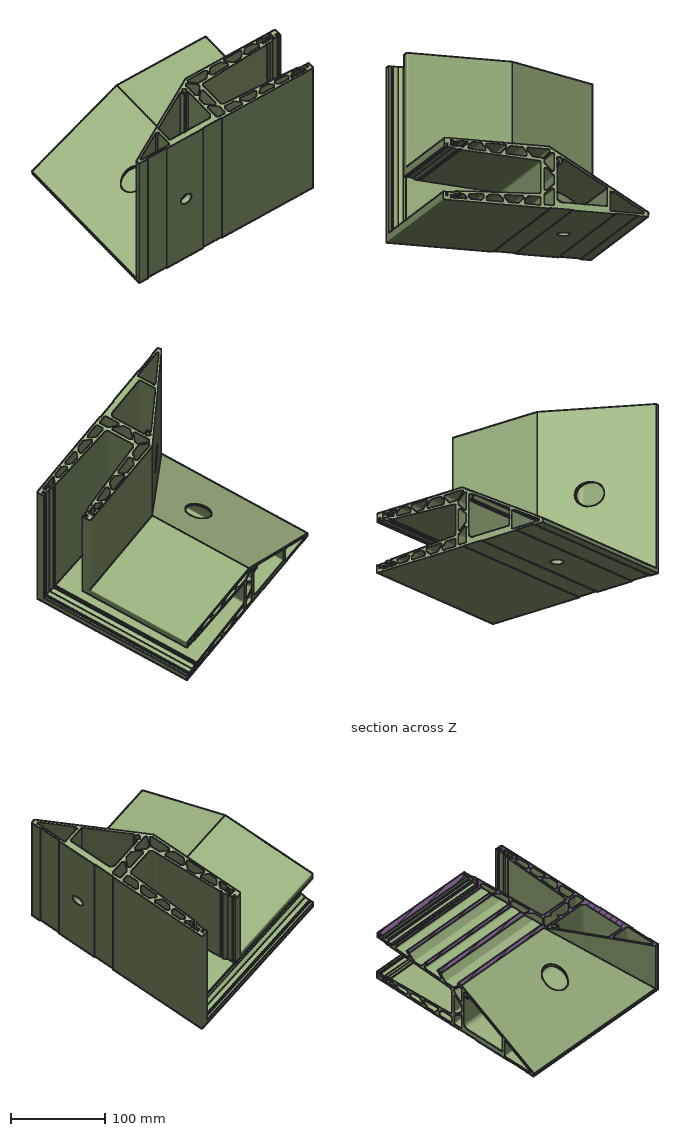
import cadquery as cq
import math


leg_length = 192.0
profile_width = 230.0
profile_depth = 68.0
knee_s = 118.4
slope_angle = 29.57

lip_setback = 0.7
tip_setback = 0.7
tip_d = 4.4
tip_bevel = 1.4
lip_round = 1.5
outer_round = 1.0
recess_starts = (120.1, 193.0)
recess_width = 24.8
recess_depth = 0.6

channel_mid = 33.4
mouth_half = 24.6
seal_slot_s = 3.0
seal_slot_width = 2.0
seal_slot_half = 28.5
bead_start_s = 10.8
bead_end_s = 18.7
bead_height = 1.9
bead_crest_s = 15.8
bead_heel_half = 23.8
bead_bulge = 0.65
taper_start_s = 19.3
taper_start_half = 22.65
taper_angle = 3.0
channel_end_s = 109.3
channel_corner_round = 3.0

slope_wall = 3.0
outer_skin = 2.9
thick_skin = 7.8
inner_skin = 2.0
inner_skin_thick = 3.0
cavity_start_s = 127.3
cavity_end_s = 183.6
cavity_top_d = 51.0
cavity_neck_s = 134.9
cavity_neck_length = 2.3
cavity_round = 5.5
cavity_end_round = 1.0
tip_cavity_start_s = 187.0
tip_cavity_flat = 3.2
tip_cavity_round = 1.2
port_s = 129.7
port_d = 55.0
port_radius = 2.7
port_throat_s = 130.0
port_throat_width = 2.3

web_start_s = 113.0
web_end_s = 124.0
web_skin = 3.7
cell_round = 2.0

hole_along = 94.0
hole_s = 167.5
access_diameter = 28.0
bolt_diameter = 14.0

slope = math.tan(math.radians(slope_angle))
inner_cell_d = profile_depth - inner_skin
thick_cell_d = profile_depth - inner_skin_thick

mouth_cells = [
    [(8.4, inner_cell_d), (10.8, inner_cell_d), (12.6, 64.2), (14.0, 65.0), (15.8, 65.0),
     (17.0, 63.8), (18.4, inner_cell_d), (26.6, inner_cell_d), (27.4, 64.6), (22.0, 59.4),
     (20.0, 60.1), (16.8, 60.1), (14.8, 59.7), (13.0, 60.1), (8.4, 60.1)],
    [(8.0, outer_skin), (8.0, 5.8), (12.0, 5.8), (13.2, 7.8), (16.8, 7.8), (17.8, 7.0),
     (19.2, 8.0), (22.0, 8.0), (26.4, 4.5), (26.4, outer_skin), (18.4, outer_skin), (17.7, 3.5),
     (17.0, outer_skin), (13.5, outer_skin), (12.8, 3.5), (12.1, outer_skin)],
]

inner_cells = [
    [(27.7, 58.2), (27.7, 61.2), (32.4, inner_cell_d), (42.0, inner_cell_d), (47.3, 60.6),
     (47.3, 57.1)],
    [(44.9, inner_cell_d), (73.2, inner_cell_d), (63.6, 56.1), (54.3, 56.6)],
    [(70.2, 56.1), (70.2, 59.9), (75.3, thick_cell_d), (88.2, thick_cell_d), (93.4, 59.7),
     (93.4, 55.0)],
    [(91.2, thick_cell_d), (121.7, thick_cell_d), (112.3, 54.9), (100.2, 55.2)],
]

outer_cells = [
    [(28.5, 5.2), (28.5, 8.7), (45.3, 9.6), (45.3, 5.8), (42.2, outer_skin), (31.0, outer_skin)],
    [(48.3, outer_skin), (48.3, 6.2), (52.0, 9.9), (61.7, 10.5), (66.9, 6.0), (66.9, outer_skin)],
    [(65.9, 10.6), (92.7, 11.9), (84.0, outer_skin), (73.8, outer_skin)],
    [(90.9, outer_skin), (90.9, 6.7), (95.8, 11.8), (109.3, 11.8), (109.3, outer_skin)],
]

web_cells = [
    [(web_start_s, 49.8), (web_start_s, 53.6), (web_end_s, 64.2), (web_end_s, 38.4)],
    [(web_start_s, 47.2), (web_end_s, 36.2), (web_end_s, 27.5), (web_start_s, 17.0)],
    [(web_start_s, 15.2), (web_start_s, web_skin), (web_end_s, web_skin), (web_end_s, 24.5)],
]


def slope_d(s):
    """Depth of the sloping face at distance s from the mouth."""
    return profile_depth - (s - knee_s) * slope


def at(s, d):
    """Profile position (s, d) in the XY plane of the upright leg."""
    return (-d, -s)


def prism(points):
    """Closed polygon in (s, d), extruded over the full leg length."""
    return cq.Workplane("XY").polyline([at(s, d) for s, d in points]).close().extrude(leg_length)


def slab(s_start, s_end, d_start, d_end):
    return prism([(s_start, d_start), (s_end, d_start), (s_end, d_end), (s_start, d_end)])


def edge_at(s, d):
    """Selector for the lengthwise edge at (s, d)."""
    return cq.selectors.NearestToPointSelector((*at(s, d), leg_length / 2))


def outline():
    tip_bevel_s = profile_width - tip_bevel
    body = prism([
        (0, 0),
        (profile_width - tip_setback, 0),
        (profile_width, tip_d),
        (tip_bevel_s, slope_d(tip_bevel_s)),
        (knee_s, profile_depth),
        (lip_setback, profile_depth),
        (lip_setback, channel_mid),
        (0, channel_mid),
    ])
    body = body.edges(edge_at(lip_setback, profile_depth)).fillet(lip_round)
    body = body.edges(edge_at(0, 0)).fillet(outer_round)
    for start in recess_starts:
        body = body.cut(slab(start, start + recess_width, 0, recess_depth))
    return body


def bead(side):
    """Ridge along one channel wall: two rounded flanks that meet at a crest."""
    foot = channel_mid + side * mouth_half
    crest = channel_mid + side * (mouth_half - bead_height)
    heel = channel_mid + side * bead_heel_half
    flank = foot - side * bead_height * bead_bulge
    back = heel - side * (bead_heel_half - mouth_half + bead_height) * bead_bulge
    return (
        cq.Workplane("XY")
        .moveTo(*at(bead_start_s, foot))
        .threePointArc(at((bead_start_s + bead_crest_s) / 2, flank), at(bead_crest_s, crest))
        .threePointArc(at((bead_crest_s + bead_end_s) / 2, back), at(bead_end_s, heel))
        .lineTo(*at(taper_start_s, heel))
        .lineTo(*at(taper_start_s, foot))
        .close()
        .extrude(leg_length)
    )


def channel():
    taper_end_half = taper_start_half - (channel_end_s - taper_start_s) * math.tan(math.radians(taper_angle))
    mouth = slab(0, taper_start_s, channel_mid - mouth_half, channel_mid + mouth_half)
    for side in (-1, 1):
        mouth = mouth.cut(bead(side))
    taper = prism([
        (taper_start_s, channel_mid - taper_start_half),
        (channel_end_s, channel_mid - taper_end_half),
        (channel_end_s, channel_mid + taper_end_half),
        (taper_start_s, channel_mid + taper_start_half),
    ])
    for side in (-1, 1):
        taper = taper.edges(edge_at(channel_end_s, channel_mid + side * taper_end_half)).fillet(
            channel_corner_round)
    seal_slot = slab(seal_slot_s, seal_slot_s + seal_slot_width,
                     channel_mid - seal_slot_half, channel_mid + seal_slot_half)
    return mouth.union(taper).union(seal_slot)


def screw_cavity():
    cavity = prism([
        (cavity_start_s, thick_skin),
        (cavity_end_s, thick_skin),
        (cavity_end_s, slope_d(cavity_end_s) - slope_wall),
        (cavity_neck_s, slope_d(cavity_neck_s) - slope_wall),
        (cavity_neck_s - cavity_neck_length, cavity_top_d),
        (cavity_start_s, cavity_top_d),
    ])
    cavity = cavity.edges(edge_at(cavity_start_s, thick_skin)).fillet(cavity_round)
    cavity = cavity.edges(edge_at(cavity_end_s, thick_skin)).fillet(cavity_end_round)
    port = cq.Workplane("XY").center(*at(port_s, port_d)).circle(port_radius).extrude(leg_length)
    throat = slab(port_throat_s, port_throat_s + port_throat_width, cavity_top_d, port_d)
    return cavity.union(port).union(throat)


def tip_cavity():
    flat_end_s = tip_cavity_start_s + tip_cavity_flat
    flat_d = slope_d(flat_end_s) - slope_wall
    sharp_s = knee_s + (profile_depth - slope_wall - outer_skin) / slope
    cavity = prism([
        (tip_cavity_start_s, outer_skin),
        (sharp_s, outer_skin),
        (flat_end_s, flat_d),
        (tip_cavity_start_s, flat_d),
    ])
    for corner_s in (tip_cavity_start_s, sharp_s):
        cavity = cavity.edges(edge_at(corner_s, outer_skin)).fillet(tip_cavity_round)
    return cavity


def upright_leg():
    leg = outline().cut(channel()).cut(screw_cavity()).cut(tip_cavity())
    for cell in mouth_cells:
        leg = leg.cut(prism(cell))
    for cell in inner_cells + outer_cells + web_cells:
        leg = leg.cut(prism(cell).edges("|Z").fillet(cell_round))
    return leg


def hole(diameter, d_start, d_end):
    """Hole square to the outer face of the upright leg, between two depths."""
    return (
        cq.Workplane("YZ", origin=(-d_end, 0, 0))
        .center(-hole_s, hole_along)
        .circle(diameter / 2)
        .extrude(d_end - d_start)
    )


def mitre_half():
    """Everything on the upright leg's side of the 45 degree mitre plane."""
    return (
        cq.Workplane("XZ")
        .polyline([(0, 0), (0, leg_length), (-leg_length, leg_length)])
        .close()
        .extrude(profile_width)
    )


leg = upright_leg()
leg = leg.cut(hole(access_diameter, thick_skin, profile_depth))
leg = leg.cut(hole(bolt_diameter, 0, thick_skin))
leg = leg.intersect(mitre_half())

result = leg.union(leg.mirror((1, 0, 1)))